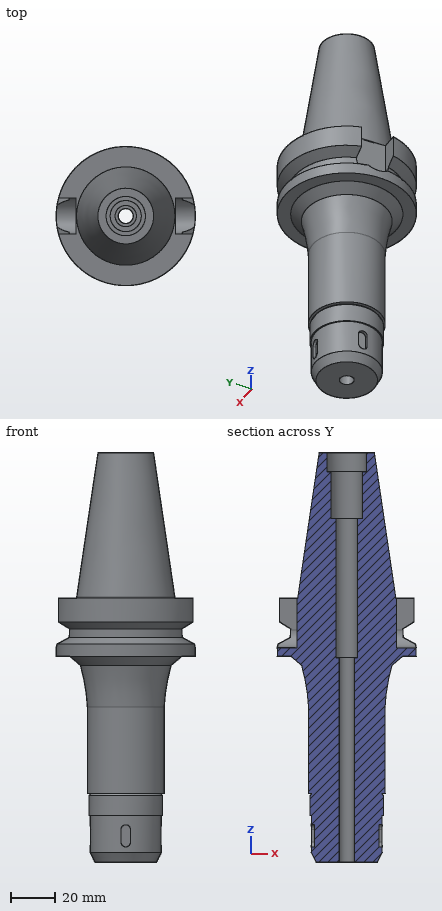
import cadquery as cq

total_height = 185.4

shank_top_radius = 12.6
shank_base_radius = 22.2
shank_base_z = 120.1

flange_radius = 31.5
flange_top_z = 119.5
flange_bottom_z = 93.3
groove_radius = 26.7
groove_upper_edge_z = 108.8
groove_upper_floor_z = 105.7
groove_lower_floor_z = 101.8
groove_lower_edge_z = 98.8

neck_top_radius = 25.4
flare_top_radius = 20.5
flare_top_z = 89.2
flare_bottom_z = 70.3
flare_sag = 0.5

body_radius = 17.5
body_bottom_z = 31.1

nut_shoulder_radius = 16.0
nut_collar_radius = 16.7
nut_collar_top_z = 30.2
nut_collar_bottom_z = 21.1
nut_radius = 16.1
nut_chamfer_z = 4.5
nut_nose_radius = 13.9

keyway_width = 16.1
keyway_floor_x = 22.6
keyway_bottom_z = 97.1

wrench_slot_count = 4
wrench_slot_width = 4.3
wrench_slot_bottom_z = 7.0
wrench_slot_top_z = 17.0
wrench_slot_depth = 1.5

bore_steps = [
    (8.9, 8.5),
    (7.0, 29.7),
    (4.8, 92.7),
    (3.3, total_height),
]


def make_body():
    """Revolve the half outline of the holder around Z."""
    flare_middle = (
        (flare_top_radius + body_radius) / 2 - flare_sag,
        (flare_top_z + flare_bottom_z) / 2,
    )
    return (
        cq.Workplane("XZ")
        .moveTo(0, 0)
        .lineTo(nut_nose_radius, 0)
        .lineTo(nut_radius, nut_chamfer_z)
        .lineTo(nut_radius, nut_collar_bottom_z)
        .lineTo(nut_collar_radius, nut_collar_bottom_z)
        .lineTo(nut_collar_radius, nut_collar_top_z)
        .lineTo(nut_shoulder_radius, body_bottom_z)
        .lineTo(body_radius, body_bottom_z)
        .lineTo(body_radius, flare_bottom_z)
        .threePointArc(flare_middle, (flare_top_radius, flare_top_z))
        .lineTo(neck_top_radius, flange_bottom_z)
        .lineTo(flange_radius, flange_bottom_z)
        .lineTo(flange_radius, groove_lower_edge_z)
        .lineTo(groove_radius, groove_lower_floor_z)
        .lineTo(groove_radius, groove_upper_floor_z)
        .lineTo(flange_radius, groove_upper_edge_z)
        .lineTo(flange_radius, flange_top_z)
        .lineTo(shank_base_radius, flange_top_z)
        .lineTo(shank_base_radius, shank_base_z)
        .lineTo(shank_top_radius, total_height)
        .lineTo(0, total_height)
        .close()
        .revolve(360, (0, 0), (0, 1))
    )


def make_keyway():
    """Round-bottomed cutter for the keyway on the +X side."""
    half_width = keyway_width / 2
    round_center_z = keyway_bottom_z + half_width
    return (
        cq.Workplane("YZ", origin=(keyway_floor_x, 0, 0))
        .moveTo(-half_width, flange_top_z)
        .lineTo(-half_width, round_center_z)
        .threePointArc((0, keyway_bottom_z), (half_width, round_center_z))
        .lineTo(half_width, flange_top_z)
        .close()
        .extrude(flange_radius - keyway_floor_x)
    )


def make_wrench_slot():
    """Upright, round-ended cutter for the wrench slot on the +X side."""
    slot_middle_z = (wrench_slot_bottom_z + wrench_slot_top_z) / 2
    slot_length = wrench_slot_top_z - wrench_slot_bottom_z
    return (
        cq.Workplane("YZ", origin=(nut_radius - wrench_slot_depth, 0, slot_middle_z))
        .slot2D(slot_length, wrench_slot_width, 90)
        .extrude(wrench_slot_depth)
    )


def cut_around_axis(part, cutter, count):
    """Cut copies of the cutter, evenly spaced around Z."""
    for index in range(count):
        turned = cutter.rotate((0, 0, 0), (0, 0, 1), index * 360 / count)
        part = part.cut(turned)
    return part


def cut_bore(part):
    """Drill every bore step down from the shank end."""
    for radius, depth in bore_steps:
        drill = (
            cq.Workplane("XY", origin=(0, 0, total_height))
            .circle(radius)
            .extrude(-depth)
        )
        part = part.cut(drill)
    return part


result = make_body()
result = cut_around_axis(result, make_keyway(), 2)
result = cut_around_axis(result, make_wrench_slot(), wrench_slot_count)
result = cut_bore(result)